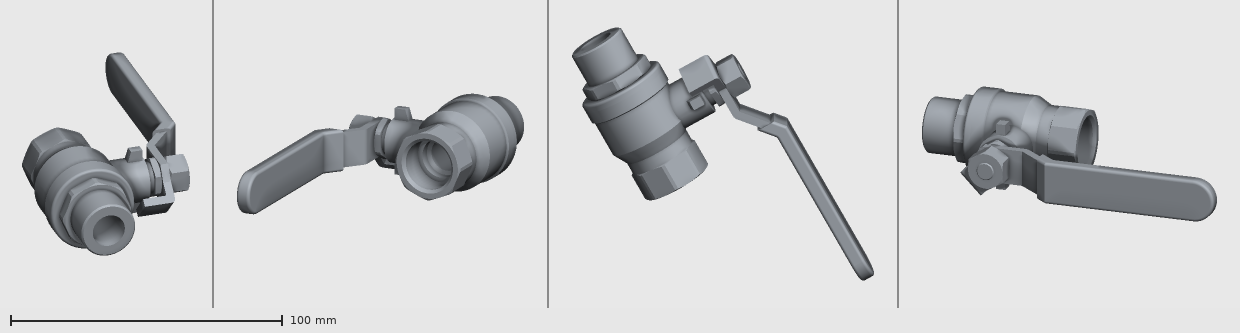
import cadquery as cq
import math


INLET_X = -25.0
INLET_HEX_END_X = -14.0
CONE_START_X = -9.3
CONE_END_X = -4.0
COLLAR_X = 10.5
COLLAR_TAPER_LENGTH = 0.5
JOINT_X = 15.1
FLANGE_END_X = 18.0
OUTLET_HEX_END_X = 23.0
OUTLET_X = 36.1

NECK_DIA = 25.0
BELLY_DIA = 30.9
FLANGE_DIA = 32.5
SPIGOT_DIA = 21.0
BORE_DIA = 12.5
SEAT_DIA = 15.0
SOCKET_DIA = 18.7
SOCKET_MOUTH_DIA = 21.0
SOCKET_DEPTH = 11.4
SEAT_DEPTH = 3.8
FLANGE_FILLET = 1.0
SPIGOT_CHAMFER = 0.6

OCTAGON_ACROSS_FLATS = NECK_DIA
OCTAGON_ACROSS_EDGES = 26.5

WRENCH_CHAMFER_ANGLE = 30.0

TOWER_DIA = 17.0
TOWER_TOP_Y = 25.8
TOWER_CHAMFER_WIDTH = 1.5
TOWER_CHAMFER_HEIGHT = 0.3
WING_WIDTH = 3.5
WING_REACH = 12.7
WING_TOP_Y = 24.6
WING_TIP_Y = 20.2
WING_ROOT_Y = 18.9

STEM_DIA = 6.7
STEM_BOTTOM_Y = 10.2
STEM_TOP_Y = 41.8
STEM_CHAMFER = 0.4
GLAND_DIA = 12.0
GLAND_BOTTOM_Y = 19.0
GLAND_HEX_Y = 28.0
GLAND_HEX_HEIGHT = 2.5
GLAND_COLLAR_DIA = 11.8
GLAND_ACROSS_FLATS = 14.0
GLAND_ACROSS_EDGES = 15.5
NUT_ACROSS_FLATS = 13.5
NUT_HEIGHT = 7.5

LEVER_THICKNESS = 3.0
LEVER_HALF_WIDTH = 6.7
LEVER_BASE_Y = 30.9
LEVER_RISE = 11.4
LEVER_ANGLE = 40.0
LEVER_BEND_X = -12.8
LEVER_BEND_RADIUS = 3.0
HEAD_CORNER_X = 3.8

TAB_ANGLE = -45.0
TAB_HALF_WIDTH = 5.7
TAB_REACH = 12.6
TAB_BOTTOM_Y = 21.8
TAB_BEND_RADIUS = 1.5
TAB_SHOULDER_REACH = 4.5

GRIP_TIP_X = -90.9
GRIP_END_X = -21.0
GRIP_WALL = 1.1
GRIP_SIDE_WALL = 1.3
GRIP_FILLET = 1.1
GRIP_BEND_RADIUS = 1.9

LEVER_TOP_Y = LEVER_BASE_Y + LEVER_THICKNESS
GRIP_HALF_WIDTH = LEVER_HALF_WIDTH + GRIP_SIDE_WALL
LEVER_RUN = LEVER_RISE / math.tan(math.radians(LEVER_ANGLE))
MITRE = math.tan(math.radians(LEVER_ANGLE / 2))
UPPER_BEND_X = LEVER_BEND_X - LEVER_RUN
UPPER_BEND_Y = LEVER_BASE_Y + LEVER_RISE


def revolved(points):
    """Turn a closed (x, radius) outline about the pipe axis."""
    return cq.Workplane("XY").polyline(points).close().revolve(360, (0, 0, 0), (1, 0, 0))


def rod(diameter, bottom_y, top_y):
    """Cylinder on the stem axis."""
    length = top_y - bottom_y
    return cq.Workplane("XZ", origin=(0, bottom_y, 0)).circle(diameter / 2).extrude(-length)


def prism(sides, across_flats, length, turn):
    """Regular prism along local Z, with its first edge turned by `turn` degrees."""
    corner_dia = across_flats / math.cos(math.pi / sides)
    return cq.Workplane("XY").polygon(sides, corner_dia).extrude(length).rotate((0, 0, 0), (0, 0, 1), turn)


def wrench_prism(sides, across_flats, length, across_edges=None, chamfer_start=True):
    """Prism along local Z with chamfered ends and its long edges optionally cut flat.

    One long edge lies on local +Y. The far end is always chamfered, the start if asked.
    """
    solid = prism(sides, across_flats, length, 90)
    if across_edges:
        solid = solid.intersect(prism(sides, across_edges, length, 90 + 180 / sides))
    end_radius = across_flats / 2
    start_radius = end_radius + length / math.tan(math.radians(WRENCH_CHAMFER_ANGLE))
    cone = (
        cq.Workplane("XZ")
        .polyline([(0, 0), (start_radius, 0), (end_radius, length), (0, length)])
        .close()
        .revolve(360, (0, 0, 0), (0, 1, 0))
    )
    solid = solid.intersect(cone)
    if chamfer_start:
        solid = solid.intersect(cone.mirror("XY", (0, 0, length / 2)))
    return solid


def pipe_octagon(start_x, end_x):
    """Octagonal wrench section on the pipe axis."""
    octagon = wrench_prism(8, OCTAGON_ACROSS_FLATS, end_x - start_x, OCTAGON_ACROSS_EDGES)
    return octagon.rotate((0, 0, 0), (0, 1, 0), 90).translate((start_x, 0, 0))


def stem_hexagon(across_flats, start_y, height, across_edges=None, chamfer_start=True):
    """Hexagonal wrench section on the stem axis, with edges at +Z and -Z."""
    hexagon = wrench_prism(6, across_flats, height, across_edges, chamfer_start)
    return hexagon.rotate((0, 0, 0), (1, 0, 0), -90).translate((0, start_y, 0))


def stem_tower():
    """Upright tower on the stem axis with a flat cone on its rim and two stop wings."""
    radius = TOWER_DIA / 2
    tower = (
        cq.Workplane("XY")
        .polyline([
            (0, 0),
            (radius, 0),
            (radius, TOWER_TOP_Y - TOWER_CHAMFER_HEIGHT),
            (radius - TOWER_CHAMFER_WIDTH, TOWER_TOP_Y),
            (0, TOWER_TOP_Y),
        ])
        .close()
        .revolve(360, (0, 0, 0), (0, 1, 0))
    )
    wings = (
        cq.Workplane("YZ")
        .polyline([
            (WING_TOP_Y, WING_REACH),
            (WING_TIP_Y, WING_REACH),
            (WING_ROOT_Y, radius),
            (WING_ROOT_Y, -radius),
            (WING_TIP_Y, -WING_REACH),
            (WING_TOP_Y, -WING_REACH),
        ])
        .close()
        .extrude(WING_WIDTH / 2, both=True)
    )
    return tower.union(wings)


def body_bore():
    """Tapered mouth, socket, seat with a conical end and through bore of the body."""
    bore_radius = BORE_DIA / 2
    seat_radius = SEAT_DIA / 2
    socket_radius = SOCKET_DIA / 2
    mouth_radius = SOCKET_MOUTH_DIA / 2
    socket_end_x = INLET_X + SOCKET_DEPTH
    seat_end_x = socket_end_x + SEAT_DEPTH
    return revolved([
        (INLET_X, 0),
        (INLET_X, mouth_radius),
        (INLET_X + mouth_radius - socket_radius, socket_radius),
        (socket_end_x, socket_radius),
        (socket_end_x, seat_radius),
        (seat_end_x, seat_radius),
        (seat_end_x + seat_radius - bore_radius, bore_radius),
        (JOINT_X, bore_radius),
        (JOINT_X, 0),
    ])


def make_body():
    shell = revolved([
        (INLET_HEX_END_X, 0),
        (INLET_HEX_END_X, NECK_DIA / 2),
        (CONE_START_X, NECK_DIA / 2),
        (CONE_END_X, BELLY_DIA / 2),
        (COLLAR_X - COLLAR_TAPER_LENGTH, BELLY_DIA / 2),
        (COLLAR_X, FLANGE_DIA / 2),
        (JOINT_X, FLANGE_DIA / 2),
        (JOINT_X, 0),
    ])
    outside = shell.union(pipe_octagon(INLET_X, INLET_HEX_END_X)).union(stem_tower())
    gland_hole = rod(GLAND_DIA, GLAND_BOTTOM_Y, TOWER_TOP_Y)
    stem_hole = rod(STEM_DIA, STEM_BOTTOM_Y, GLAND_BOTTOM_Y)
    return outside.cut(body_bore()).cut(gland_hole).cut(stem_hole)


def make_end_cap():
    flange = (
        revolved([
            (JOINT_X, 0),
            (JOINT_X, FLANGE_DIA / 2),
            (FLANGE_END_X, FLANGE_DIA / 2),
            (FLANGE_END_X, 0),
        ])
        .faces(">X").edges().fillet(FLANGE_FILLET)
    )
    spigot = (
        cq.Workplane("YZ", origin=(FLANGE_END_X, 0, 0))
        .circle(SPIGOT_DIA / 2)
        .extrude(OUTLET_X - FLANGE_END_X)
        .faces(">X").chamfer(SPIGOT_CHAMFER)
    )
    outside = flange.union(pipe_octagon(FLANGE_END_X, OUTLET_HEX_END_X)).union(spigot)
    bore = cq.Workplane("YZ", origin=(JOINT_X, 0, 0)).circle(BORE_DIA / 2).extrude(OUTLET_X - JOINT_X)
    return outside.cut(bore)


def make_stem():
    return rod(STEM_DIA, STEM_BOTTOM_Y, STEM_TOP_Y).faces(">Y").chamfer(STEM_CHAMFER)


def make_gland_nut():
    hexagon = stem_hexagon(
        GLAND_ACROSS_FLATS, GLAND_HEX_Y, GLAND_HEX_HEIGHT, GLAND_ACROSS_EDGES, chamfer_start=False
    )
    collar = rod(GLAND_COLLAR_DIA, GLAND_HEX_Y, LEVER_BASE_Y)
    shank = rod(GLAND_DIA, GLAND_BOTTOM_Y, GLAND_HEX_Y)
    return hexagon.union(collar).union(shank).cut(rod(STEM_DIA, GLAND_BOTTOM_Y, LEVER_BASE_Y))


def make_lever_nut():
    hexagon = stem_hexagon(NUT_ACROSS_FLATS, LEVER_TOP_Y, NUT_HEIGHT)
    return hexagon.cut(rod(STEM_DIA, LEVER_TOP_Y, LEVER_TOP_Y + NUT_HEIGHT))


def tab_point(along, across):
    """Point (x, z) given along and across the stop-tab direction."""
    angle = math.radians(TAB_ANGLE)
    x = along * math.cos(angle) - across * math.sin(angle)
    z = along * math.sin(angle) + across * math.cos(angle)
    return (x, z)


def plan_prism(outline, bottom_y, top_y):
    """Extrude a closed (x, z) outline from bottom_y up to top_y."""
    return cq.Workplane("XZ", origin=(0, bottom_y, 0)).polyline(outline).close().extrude(bottom_y - top_y)


def round_ended_strip(tip_x, end_x, half_width, bottom_y, top_y):
    """Strip along X with a full-round tip at its -X end."""
    return (
        cq.Workplane("XZ", origin=(0, bottom_y, 0))
        .moveTo(end_x, half_width)
        .lineTo(tip_x + half_width, half_width)
        .threePointArc((tip_x, 0), (tip_x + half_width, -half_width))
        .lineTo(end_x, -half_width)
        .close()
        .extrude(bottom_y - top_y)
    )


def lever_strip():
    """Cranked strip of the lever, from its round tip to the stem axis."""
    tip_x = GRIP_TIP_X + GRIP_SIDE_WALL
    mitre_shift = LEVER_THICKNESS * MITRE
    profile = (
        cq.Workplane("XY")
        .polyline([
            (tip_x, UPPER_BEND_Y),
            (UPPER_BEND_X, UPPER_BEND_Y),
            (LEVER_BEND_X, LEVER_BASE_Y),
            (0, LEVER_BASE_Y),
            (0, LEVER_TOP_Y),
            (LEVER_BEND_X + mitre_shift, LEVER_TOP_Y),
            (UPPER_BEND_X + mitre_shift, UPPER_BEND_Y + LEVER_THICKNESS),
            (tip_x, UPPER_BEND_Y + LEVER_THICKNESS),
        ])
        .close()
        .extrude(LEVER_HALF_WIDTH, both=True)
    )
    upper_bend = cq.selectors.NearestToPointSelector((UPPER_BEND_X, UPPER_BEND_Y, 0))
    lower_bend = cq.selectors.NearestToPointSelector((LEVER_BEND_X, LEVER_BASE_Y, 0))
    profile = profile.edges(upper_bend + lower_bend).fillet(LEVER_BEND_RADIUS)
    plan = round_ended_strip(tip_x, 0, LEVER_HALF_WIDTH, LEVER_BASE_Y, UPPER_BEND_Y + LEVER_THICKNESS)
    return profile.intersect(plan)


def lever_head():
    """Flat head around the stem, reaching diagonally out to the down-turned stop tab."""
    angle = math.radians(TAB_ANGLE)
    back_reach = (TAB_HALF_WIDTH * math.cos(angle) - LEVER_HALF_WIDTH) / math.sin(angle)
    back_corner = tab_point(back_reach, -TAB_HALF_WIDTH)
    plate = plan_prism([
        back_corner,
        tab_point(TAB_REACH, -TAB_HALF_WIDTH),
        tab_point(TAB_REACH, TAB_HALF_WIDTH),
        tab_point(TAB_SHOULDER_REACH, TAB_HALF_WIDTH),
        (HEAD_CORNER_X, LEVER_HALF_WIDTH),
        (back_corner[0], LEVER_HALF_WIDTH),
    ], LEVER_BASE_Y, LEVER_TOP_Y)
    tab_inside = TAB_REACH - LEVER_THICKNESS
    tab = plan_prism([
        tab_point(tab_inside, -TAB_HALF_WIDTH),
        tab_point(TAB_REACH, -TAB_HALF_WIDTH),
        tab_point(TAB_REACH, TAB_HALF_WIDTH),
        tab_point(tab_inside, TAB_HALF_WIDTH),
    ], TAB_BOTTOM_Y, LEVER_TOP_Y)
    x, z = tab_point(TAB_REACH, 0)
    outer_bend = cq.selectors.NearestToPointSelector((x, LEVER_TOP_Y, z))
    return plate.union(tab).edges(outer_bend).fillet(TAB_BEND_RADIUS)


def make_lever():
    return lever_strip().union(lever_head()).cut(rod(STEM_DIA, LEVER_BASE_Y, LEVER_TOP_Y))


def make_grip(lever):
    """Sleeve that follows the lever's upper bend, hollowed to fit the lever."""
    bottom_y = UPPER_BEND_Y - GRIP_WALL
    top_y = UPPER_BEND_Y + LEVER_THICKNESS + GRIP_WALL
    lower_bend_x = UPPER_BEND_X - GRIP_WALL * MITRE
    upper_bend_x = UPPER_BEND_X + (LEVER_THICKNESS + GRIP_WALL) * MITRE
    slope = math.tan(math.radians(LEVER_ANGLE))
    lower_end_y = bottom_y - (GRIP_END_X - lower_bend_x) * slope
    upper_end_y = top_y - (GRIP_END_X - upper_bend_x) * slope
    profile = (
        cq.Workplane("XY")
        .polyline([
            (GRIP_TIP_X, bottom_y),
            (lower_bend_x, bottom_y),
            (GRIP_END_X, lower_end_y),
            (GRIP_END_X, upper_end_y),
            (upper_bend_x, top_y),
            (GRIP_TIP_X, top_y),
        ])
        .close()
        .extrude(GRIP_HALF_WIDTH, both=True)
    )
    underside_bend = cq.selectors.NearestToPointSelector((lower_bend_x, bottom_y, 0))
    profile = profile.edges(underside_bend).fillet(GRIP_BEND_RADIUS)
    plan = round_ended_strip(GRIP_TIP_X, GRIP_END_X, GRIP_HALF_WIDTH, lower_end_y, top_y)
    outside = profile.intersect(plan)
    outside = outside.edges("not(|Z or |Y)").fillet(GRIP_FILLET)
    return outside.cut(lever)


body = make_body()
end_cap = make_end_cap()
stem = make_stem()
gland_nut = make_gland_nut()
lever_nut = make_lever_nut()
lever = make_lever()
grip = make_grip(lever)

result = cq.Compound.makeCompound([
    body.val(),
    end_cap.val(),
    stem.val(),
    gland_nut.val(),
    lever_nut.val(),
    lever.val(),
    grip.val(),
])